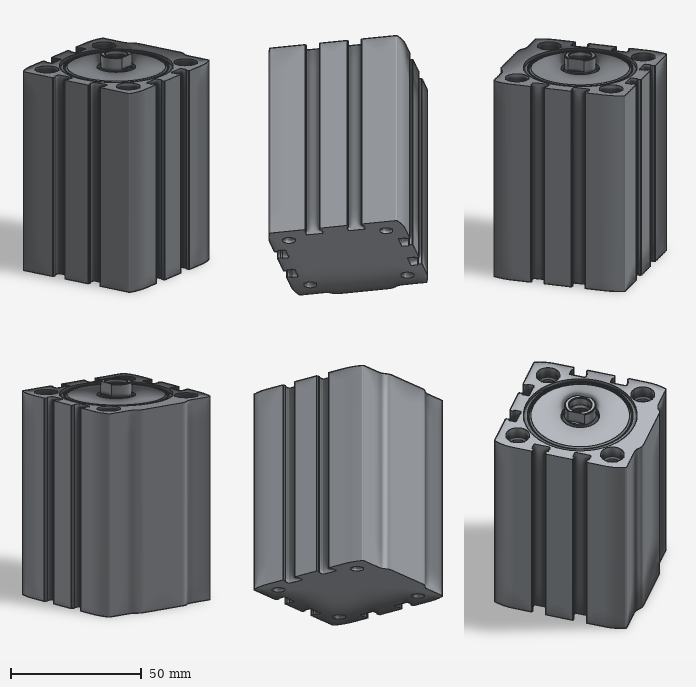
import cadquery as cq
import math

WIDTH = 53.0
HALF = WIDTH / 2
HEIGHT = 79.5

SIDE_FLAT_HALF = 18.5
SIDE_CURVE_RADIUS = 20.0
CORNER_RADIUS = 0.8

PAD_HEIGHT = 2.0
PAD_TOP_HALF = 9.6
PAD_FLANK_WIDTH = 5.6

SLOT_OFFSET = 8.2
SLOT_MOUTH_WIDTH = 5.2
SLOT_WIDTH = 6.5
SLOT_DEPTH = 4.45
SLOT_LIP = 1.3
SLOT_CORNER_RADIUS = 0.6
SLOT_MOUTH_RADIUS = 0.3

MOUNT_OFFSET = 19.0
MOUNT_BORE_DIA = 9.0
MOUNT_BORE_DEPTH = 4.7
MOUNT_MOUTH_DIA = 6.0
MOUNT_HOLE_DIA = 4.92

COVER_Z = HEIGHT - 0.3
COVER_EDGE_DIA = 37.7
COVER_FOOT_DIA = 39.1
COVER_EDGE_ANGLE = 45.0
RING_INNER_DIA = 40.0
RING_CREST_DIA = 40.5
RING_DIA = 43.4
RING_CREST_Z = HEIGHT - 0.4
RING_OUTER_ANGLE = 32.0

OPENING_DIA = 14.6
LIP_FOOT_DIA = 14.1
LIP_ANGLE = 60.0
LIP_TOP_Z = COVER_Z

ROD_DIA = 12.0
ROD_TOP = 84.5
ROD_INSERTION = 40.0
ROD_BOTTOM = HEIGHT - ROD_INSERTION
ROD_END_CHAMFER = 0.3
ROD_FLATS = 10.0
ROD_FLAT_BOTTOM = HEIGHT + 0.3
THREAD_MOUTH_DIA = 9.0
RELIEF_DIA = 8.4
RELIEF_DEPTH = 3.5
THREAD_CORE_DIA = 6.65
THREAD_DEPTH = 14.0
DRILL_POINT_ANGLE = 118.0


def revolved(profile):
    """Solid of revolution about Z from (radius, height) points."""
    return cq.Workplane("XZ").polyline(profile).close().revolve(360, (0, 0), (0, 1))


def housing_blank():
    drop = SIDE_CURVE_RADIUS - math.sqrt(SIDE_CURVE_RADIUS**2 - (HALF - SIDE_FLAT_HALF) ** 2)
    corner = HALF - drop
    outline = (
        cq.Workplane("XY")
        .moveTo(HALF, -SIDE_FLAT_HALF)
        .lineTo(HALF, SIDE_FLAT_HALF)
        .radiusArc((corner, HALF), -SIDE_CURVE_RADIUS)
        .lineTo(-corner, HALF)
        .radiusArc((-HALF, SIDE_FLAT_HALF), -SIDE_CURVE_RADIUS)
        .lineTo(-HALF, -SIDE_FLAT_HALF)
        .radiusArc((-corner, -HALF), -SIDE_CURVE_RADIUS)
        .lineTo(corner, -HALF)
        .radiusArc((HALF, -SIDE_FLAT_HALF), -SIDE_CURVE_RADIUS)
        .close()
    )
    blank = outline.extrude(HEIGHT)
    for x in (-corner, corner):
        for y in (-HALF, HALF):
            edge = cq.selectors.NearestToPointSelector((x, y, HEIGHT / 2))
            blank = blank.edges(edge).fillet(CORNER_RADIUS)
    return blank


def pad():
    mid_x = PAD_TOP_HALF + PAD_FLANK_WIDTH / 2
    foot_x = PAD_TOP_HALF + PAD_FLANK_WIDTH
    mid_y = HALF + PAD_HEIGHT / 2
    top_y = HALF + PAD_HEIGHT
    flank_radius = ((PAD_FLANK_WIDTH / 2) ** 2 + (PAD_HEIGHT / 2) ** 2) / PAD_HEIGHT
    return (
        cq.Workplane("XY")
        .moveTo(-foot_x, HALF)
        .radiusArc((-mid_x, mid_y), -flank_radius)
        .radiusArc((-PAD_TOP_HALF, top_y), flank_radius)
        .lineTo(PAD_TOP_HALF, top_y)
        .radiusArc((mid_x, mid_y), flank_radius)
        .radiusArc((foot_x, HALF), -flank_radius)
        .lineTo(foot_x, 0)
        .lineTo(-foot_x, 0)
        .close()
        .extrude(HEIGHT)
    )


def slot():
    """Cutter for one T-slot, opening through the -Y face at X = 0."""
    mouth = SLOT_MOUTH_WIDTH / 2
    half = SLOT_WIDTH / 2
    mouth_y = -HALF + SLOT_MOUTH_RADIUS
    lip_y = -HALF + SLOT_LIP
    bevel_y = lip_y + (half - mouth)
    floor_y = -HALF + SLOT_DEPTH
    corner_x = half - SLOT_CORNER_RADIUS
    corner_y = floor_y - SLOT_CORNER_RADIUS
    flare = mouth + SLOT_MOUTH_RADIUS
    return (
        cq.Workplane("XY")
        .moveTo(flare, -HALF)
        .radiusArc((mouth, mouth_y), -SLOT_MOUTH_RADIUS)
        .lineTo(mouth, lip_y)
        .lineTo(half, bevel_y)
        .lineTo(half, corner_y)
        .radiusArc((corner_x, floor_y), -SLOT_CORNER_RADIUS)
        .lineTo(-corner_x, floor_y)
        .radiusArc((-half, corner_y), -SLOT_CORNER_RADIUS)
        .lineTo(-half, bevel_y)
        .lineTo(-mouth, lip_y)
        .lineTo(-mouth, mouth_y)
        .radiusArc((-flare, -HALF), -SLOT_MOUTH_RADIUS)
        .close()
        .extrude(HEIGHT)
    )


def mounting_hole():
    bore = MOUNT_BORE_DIA / 2
    mouth = MOUNT_MOUTH_DIA / 2
    hole = MOUNT_HOLE_DIA / 2
    floor_z = HEIGHT - MOUNT_BORE_DEPTH
    profile = [(0, 0), (hole, 0), (hole, floor_z - (mouth - hole)), (mouth, floor_z)]
    profile += [(bore, floor_z), (bore, HEIGHT), (0, HEIGHT)]
    return revolved(profile)


def cone_drop(outer_dia, inner_dia, angle):
    return (outer_dia - inner_dia) / 2 * math.tan(math.radians(angle))


def cover_recess():
    foot_z = COVER_Z - cone_drop(COVER_FOOT_DIA, COVER_EDGE_DIA, COVER_EDGE_ANGLE)
    ring_edge_z = RING_CREST_Z - cone_drop(RING_DIA, RING_CREST_DIA, RING_OUTER_ANGLE)
    profile = [(0, HEIGHT), (RING_DIA / 2, HEIGHT), (RING_DIA / 2, ring_edge_z)]
    profile += [(RING_CREST_DIA / 2, RING_CREST_Z), (RING_INNER_DIA / 2, RING_CREST_Z)]
    profile += [(RING_INNER_DIA / 2, foot_z), (COVER_FOOT_DIA / 2, foot_z)]
    profile += [(COVER_EDGE_DIA / 2, COVER_Z), (0, COVER_Z)]
    return revolved(profile)


def rod_bore():
    rod = ROD_DIA / 2
    opening = OPENING_DIA / 2
    foot_z = LIP_TOP_Z - cone_drop(LIP_FOOT_DIA, ROD_DIA, LIP_ANGLE)
    profile = [(0, ROD_BOTTOM), (rod, ROD_BOTTOM), (rod, LIP_TOP_Z), (LIP_FOOT_DIA / 2, foot_z)]
    profile += [(opening, foot_z), (opening, COVER_Z), (0, COVER_Z)]
    return revolved(profile)


def build_housing():
    body = housing_blank().union(pad())
    for side_angle in (-90, 0, 90):
        for x in (-SLOT_OFFSET, SLOT_OFFSET):
            cutter = slot().translate((x, 0, 0)).rotate((0, 0, 0), (0, 0, 1), side_angle)
            body = body.cut(cutter)
    for x in (-MOUNT_OFFSET, MOUNT_OFFSET):
        for y in (-MOUNT_OFFSET, MOUNT_OFFSET):
            body = body.cut(mounting_hole().translate((x, y, 0)))
    return body.cut(cover_recess()).cut(rod_bore())


def rod_shaft():
    length = ROD_TOP - ROD_BOTTOM
    shaft = cq.Workplane("XY").workplane(offset=ROD_BOTTOM).circle(ROD_DIA / 2).extrude(length)
    shaft = shaft.faces(">Z").chamfer(ROD_END_CHAMFER)
    flats = cq.Workplane("XY").workplane(offset=ROD_FLAT_BOTTOM).rect(ROD_FLATS, ROD_DIA)
    flats = flats.extrude(ROD_TOP - ROD_FLAT_BOTTOM)
    below = cq.Workplane("XY").workplane(offset=ROD_BOTTOM).rect(ROD_DIA, ROD_DIA)
    below = below.extrude(ROD_FLAT_BOTTOM - ROD_BOTTOM)
    return shaft.intersect(flats.union(below))


def rod_thread_hole():
    mouth = THREAD_MOUTH_DIA / 2
    relief = RELIEF_DIA / 2
    core = THREAD_CORE_DIA / 2
    relief_z = ROD_TOP - RELIEF_DEPTH
    core_z = ROD_TOP - THREAD_DEPTH
    tip_z = core_z - core / math.tan(math.radians(DRILL_POINT_ANGLE / 2))
    profile = [(0, tip_z), (core, core_z), (core, relief_z - (relief - core)), (relief, relief_z)]
    profile += [(relief, ROD_TOP - (mouth - relief)), (mouth, ROD_TOP), (0, ROD_TOP)]
    return revolved(profile)


def build_rod():
    return rod_shaft().cut(rod_thread_hole())


housing = build_housing()
rod = build_rod()
result = cq.Compound.makeCompound([housing.val(), rod.val()])